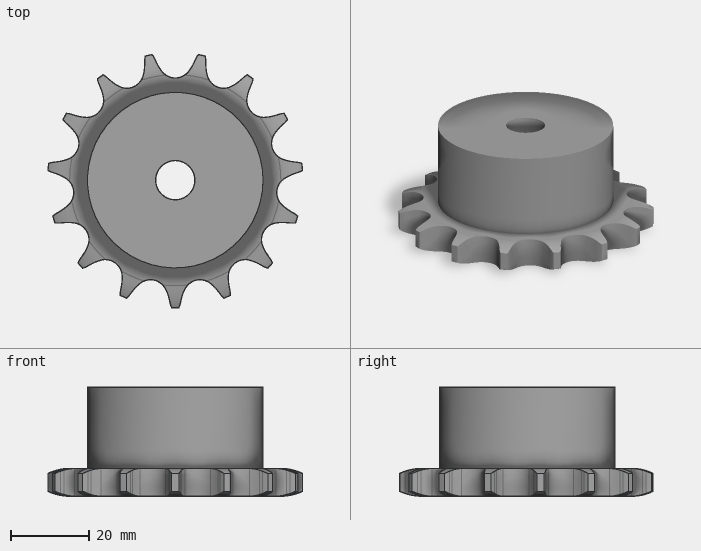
import cadquery as cq
import math

tooth_count = 15
pitch_radius = 61.05 / 2
tip_radius = 65.5 / 2
plate_thickness = 7.2
total_height = 28.0
hub_diameter = 45.0
bore_diameter = 10.0

crown_radius = 13.0
crown_drop = 1.3

seat_radius = 4.3
working_radius = 11.1
flank_flat = 0.9
topping_radius = 7.1
seat_end_angle = 35 + 60 / tooth_count
working_span = 18 - 56 / tooth_count
topping_span = 25

tooth_step = 360 / tooth_count
first_gap_angle = tooth_step / 2


def along(start, distance, angle):
    """Point at a distance from start, in the direction of an angle in degrees."""
    turn = math.radians(angle)
    return (start[0] + distance * math.cos(turn), start[1] + distance * math.sin(turn))


def mirrored(point):
    return (-point[0], point[1])


def crowned_disc():
    """Plate blank whose faces curve tangentially down to a narrower rim."""
    crown_length = math.sqrt(crown_radius**2 - (crown_radius - crown_drop) ** 2)
    crown_start = tip_radius - crown_length
    mid_angle = math.degrees(math.asin(crown_length / crown_radius)) / 2

    top_center = (crown_start, plate_thickness - crown_radius)
    bottom_center = (crown_start, crown_radius)
    return (
        cq.Workplane("XZ")
        .lineTo(crown_start, 0)
        .threePointArc(along(bottom_center, crown_radius, mid_angle - 90), (tip_radius, crown_drop))
        .lineTo(tip_radius, plate_thickness - crown_drop)
        .threePointArc(along(top_center, crown_radius, 90 - mid_angle), (crown_start, plate_thickness))
        .lineTo(0, plate_thickness)
        .close()
        .revolve(360, (0, 0), (0, 1))
    )


def tooth_gap():
    """Cutter for the space between two teeth, centred on the +Y direction."""
    seat_center = (0, pitch_radius)
    seat_bottom = along(seat_center, seat_radius, -90)
    seat_end = along(seat_center, seat_radius, -seat_end_angle)

    working_center = along(seat_end, working_radius, 180 - seat_end_angle)
    flat_normal = working_span - seat_end_angle
    working_mid = along(working_center, working_radius, flat_normal - working_span / 2)
    working_end = along(working_center, working_radius, flat_normal)
    flat_end = along(working_end, flank_flat, flat_normal + 90)

    topping_center = along(flat_end, topping_radius, flat_normal)
    topping_start = flat_normal + 180
    topping_mid = along(topping_center, topping_radius, topping_start - topping_span / 2)
    topping_end = along(topping_center, topping_radius, topping_start - topping_span)

    return (
        cq.Workplane("XY")
        .moveTo(*mirrored(topping_end))
        .threePointArc(mirrored(topping_mid), mirrored(flat_end))
        .lineTo(*mirrored(working_end))
        .threePointArc(mirrored(working_mid), mirrored(seat_end))
        .threePointArc(seat_bottom, seat_end)
        .threePointArc(working_mid, working_end)
        .lineTo(*flat_end)
        .threePointArc(topping_mid, topping_end)
        .close()
        .extrude(plate_thickness)
    )


sprocket = crowned_disc()
gap = tooth_gap()
for index in range(tooth_count):
    gap_angle = 180 + first_gap_angle + index * tooth_step
    sprocket = sprocket.cut(gap.rotate((0, 0, 0), (0, 0, 1), gap_angle))

hub = cq.Workplane("XY").circle(hub_diameter / 2).extrude(total_height)
bore = cq.Workplane("XY").circle(bore_diameter / 2).extrude(total_height)
result = sprocket.union(hub).cut(bore)